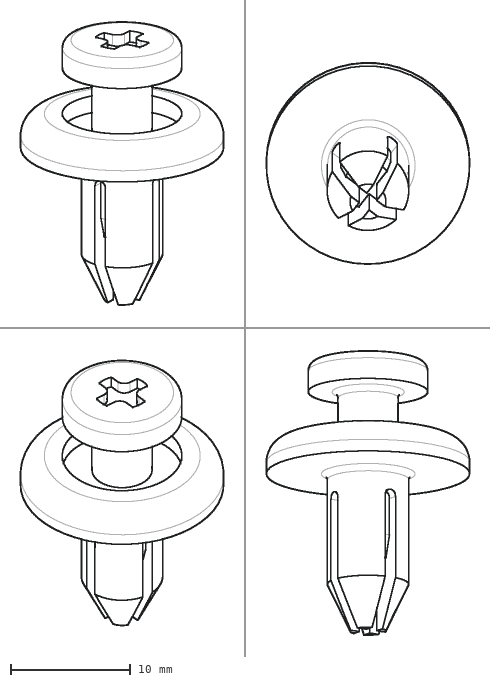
import cadquery as cq

TOTAL_HEIGHT = 23.03

HEAD_RADIUS = 5.0
HEAD_HEIGHT = 2.5
HEAD_ROUND = 0.71
SHANK_RADIUS = 2.5
SHANK_TIP_RADIUS = 2.0
SHANK_TIP_HEIGHT = 1.85
PIN_BOTTOM_Z = 6.0
NECK_FILLET = 0.5

CROSS_RADIUS = 2.3
CROSS_ARM_WIDTH = 1.34
CROSS_CORNER_RADIUS = 0.74
CROSS_DEPTH = 1.0

FLANGE_RADIUS = 8.5
FLANGE_HEIGHT = 3.0
FLANGE_ROUND = 1.98
FLANGE_BOTTOM_Z = 13.5
RECESS_DEPTH = 1.5
BARREL_RADIUS = 3.4
BARREL_FILLET = 0.5
NOSE_HEIGHT = 4.0
NOSE_TIP_RADIUS = 1.5
SLOT_WIDTH = 1.04
SLOT_TOP_Z = 11.52

HEAD_BOTTOM_Z = TOTAL_HEIGHT - HEAD_HEIGHT
FLANGE_TOP_Z = FLANGE_BOTTOM_Z + FLANGE_HEIGHT
SHANK_TIP_TOP_Z = PIN_BOTTOM_Z + SHANK_TIP_HEIGHT


def cylinder(radius, bottom_z, height):
    """Upright cylinder on the Z axis."""
    return cq.Workplane("XY").workplane(offset=bottom_z).circle(radius).extrude(height)


def make_shank():
    """Straight shank with a tapered tip; its shape also forms the grommet bore."""
    return (
        cq.Workplane("XZ")
        .moveTo(0, PIN_BOTTOM_Z)
        .lineTo(SHANK_TIP_RADIUS, PIN_BOTTOM_Z)
        .lineTo(SHANK_RADIUS, SHANK_TIP_TOP_Z)
        .lineTo(SHANK_RADIUS, HEAD_BOTTOM_Z)
        .lineTo(0, HEAD_BOTTOM_Z)
        .close()
        .revolve(360, (0, 0), (0, 1))
    )


def make_cross_recess():
    """Cross-shaped driver recess with rounded inner corners and arc-shaped arm ends."""
    floor = cq.Workplane("XY").workplane(offset=TOTAL_HEIGHT - CROSS_DEPTH)
    arm_length = 2 * CROSS_RADIUS
    cross = floor.rect(arm_length, CROSS_ARM_WIDTH).extrude(CROSS_DEPTH)
    cross = cross.union(floor.rect(CROSS_ARM_WIDTH, arm_length).extrude(CROSS_DEPTH))
    inner_corners = cq.selectors.BoxSelector(
        (-CROSS_ARM_WIDTH, -CROSS_ARM_WIDTH, 0),
        (CROSS_ARM_WIDTH, CROSS_ARM_WIDTH, TOTAL_HEIGHT),
    )
    cross = cross.edges("|Z").edges(inner_corners).fillet(CROSS_CORNER_RADIUS)
    return cross.intersect(cylinder(CROSS_RADIUS, TOTAL_HEIGHT - CROSS_DEPTH, CROSS_DEPTH))


def make_pin():
    """Headed pin, filleted under the head, with a driver recess on top."""
    head = cylinder(HEAD_RADIUS, HEAD_BOTTOM_Z, HEAD_HEIGHT).faces(">Z").edges().fillet(HEAD_ROUND)
    pin = head.union(make_shank())
    neck_edge = cq.selectors.BoxSelector(
        (-HEAD_RADIUS, -HEAD_RADIUS, HEAD_BOTTOM_Z - NECK_FILLET),
        (HEAD_RADIUS, HEAD_RADIUS, HEAD_BOTTOM_Z + NECK_FILLET),
    )
    pin = pin.edges(neck_edge).edges(cq.selectors.RadiusNthSelector(0)).fillet(NECK_FILLET)
    return pin.cut(make_cross_recess())


def make_barrel():
    """Barrel below the flange, tapering to a blunt nose."""
    return (
        cq.Workplane("XZ")
        .lineTo(NOSE_TIP_RADIUS, 0)
        .lineTo(BARREL_RADIUS, NOSE_HEIGHT)
        .lineTo(BARREL_RADIUS, FLANGE_BOTTOM_Z)
        .lineTo(0, FLANGE_BOTTOM_Z)
        .close()
        .revolve(360, (0, 0), (0, 1))
    )


def make_slot():
    """Slot along Y through the barrel, open at the nose and round at its upper end."""
    half_width = SLOT_WIDTH / 2
    return (
        cq.Workplane("XZ")
        .moveTo(-half_width, 0)
        .lineTo(half_width, 0)
        .lineTo(half_width, SLOT_TOP_Z - half_width)
        .threePointArc((0, SLOT_TOP_Z), (-half_width, SLOT_TOP_Z - half_width))
        .close()
        .extrude(BARREL_RADIUS, both=True)
    )


def make_grommet():
    """Flanged grommet with a head recess, a bore for the pin and a barrel split into four legs."""
    flange = cylinder(FLANGE_RADIUS, FLANGE_BOTTOM_Z, FLANGE_HEIGHT).faces(">Z").edges().fillet(FLANGE_ROUND)
    grommet = flange.union(make_barrel())
    barrel_root = cq.selectors.BoxSelector(
        (-FLANGE_RADIUS, -FLANGE_RADIUS, FLANGE_BOTTOM_Z - BARREL_FILLET),
        (FLANGE_RADIUS, FLANGE_RADIUS, FLANGE_BOTTOM_Z + BARREL_FILLET),
    )
    grommet = grommet.edges(barrel_root).edges(cq.selectors.RadiusNthSelector(0)).fillet(BARREL_FILLET)
    grommet = grommet.cut(cylinder(HEAD_RADIUS, FLANGE_TOP_Z - RECESS_DEPTH, RECESS_DEPTH))
    grommet = grommet.cut(make_shank())
    for angle in (0, 90):
        grommet = grommet.cut(make_slot().rotate((0, 0, 0), (0, 0, 1), angle))
    return grommet


pin = make_pin()
grommet = make_grommet()
result = cq.Compound.makeCompound([pin.val(), grommet.val()])